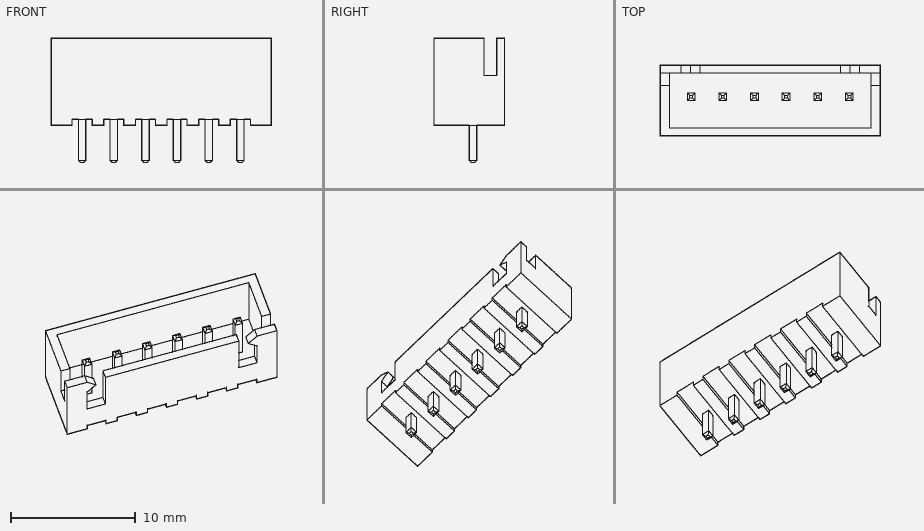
import cadquery as cq

length = 17.7
depth = 5.7
height = 7.01
side_wall = 0.65
end_wall = 0.76
floor_top = 1.5

slot_width = 1.6
slot_height = 0.5

pin_count = 6
pin_row_span = 12.7
pin_width = 0.62
pin_from_back = 2.55
pin_below_housing = 3.0
pin_top_recess = 1.01
pin_tip_chamfer = 0.2

end_notch_depth = 3.0
end_notch_width = 1.01
finger_width = 1.68
hook_reach = 0.75
gap_far_edge = 3.22
gap_depth = 4.0

back_y = depth / 2
back_wall_inner_y = back_y - side_wall
pin_y = back_y - pin_from_back
pin_pitch = pin_row_span / (pin_count - 1)
pin_xs = [-pin_row_span / 2 + i * pin_pitch for i in range(pin_count)]


def box(x_size, y_size, z_size, x_centre, y_centre, z_bottom):
    block = cq.Workplane("XY").box(x_size, y_size, z_size, centered=(True, True, False))
    return block.translate((x_centre, y_centre, z_bottom))


def shroud():
    outer = box(length, depth, height, 0, 0, 0)
    cavity = box(length - 2 * end_wall, depth - 2 * side_wall, height - floor_top, 0, 0, floor_top)
    return outer.cut(cavity)


def end_notches():
    """Slot across both end walls, just inside the back wall."""
    centre_y = back_wall_inner_y - end_notch_width / 2
    return box(length, end_notch_width, end_notch_depth, 0, centre_y, height - end_notch_depth)


def latch_gap():
    """Cutter for the left gap in the back wall; its left edge leaves the hooked finger."""
    finger_x = -length / 2 + finger_width
    far_x = -length / 2 + gap_far_edge
    bottom_z = height - gap_depth
    outline = [
        (finger_x, height),
        (finger_x + hook_reach, height - hook_reach),
        (finger_x, height - 2 * hook_reach),
        (finger_x, bottom_z),
        (far_x, bottom_z),
        (far_x, height),
    ]
    gap = cq.Workplane("XZ", origin=(0, back_y, 0)).polyline(outline).close()
    return gap.extrude(side_wall)


def pin(x):
    """Square pin through the floor, tapered at both tips."""
    pin_length = pin_below_housing + height - pin_top_recess
    shaft = box(pin_width, pin_width, pin_length, x, pin_y, -pin_below_housing)
    return shaft.faces("<Z or >Z").chamfer(pin_tip_chamfer)


left_gap = latch_gap()
result = shroud().cut(end_notches()).cut(left_gap).cut(left_gap.mirror("YZ"))

for pin_x in pin_xs:
    result = result.cut(box(slot_width, depth, slot_height, pin_x, 0, 0))
for pin_x in pin_xs:
    result = result.union(pin(pin_x))